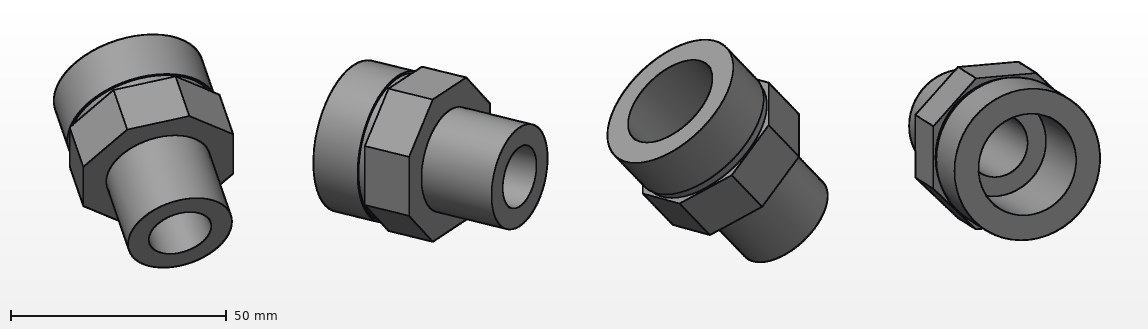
import cadquery as cq
import math

collar_length = 12.0
groove_length = 2.0
octagon_length = 12.0
spigot_length = 19.0

collar_diameter = 36.0
groove_diameter = 35.0
octagon_across_flats = 36.0
octagon_sides = 8
spigot_diameter = 25.0

socket_diameter = 24.12
socket_depth = 20.0
passage_diameter = 15.0

groove_start = collar_length
octagon_start = groove_start + groove_length
spigot_start = octagon_start + octagon_length
total_length = spigot_start + spigot_length


def cylinder(start, length, diameter):
    """Solid cylinder on the X axis, beginning at X = start."""
    return cq.Workplane("YZ", origin=(start, 0, 0)).circle(diameter / 2).extrude(length)


def octagon_grip(start, length):
    """Octagonal prism on the X axis with flats facing Y and Z."""
    across_corners = octagon_across_flats / math.cos(math.pi / octagon_sides)
    half_side_angle = 180.0 / octagon_sides
    return (
        cq.Workplane("YZ", origin=(start, 0, 0))
        .polygon(octagon_sides, across_corners)
        .extrude(length)
        .rotate((0, 0, 0), (1, 0, 0), half_side_angle)
    )


body = cylinder(0, collar_length, collar_diameter)
body = body.union(cylinder(groove_start, groove_length, groove_diameter))
body = body.union(octagon_grip(octagon_start, octagon_length))
body = body.union(cylinder(spigot_start, spigot_length, spigot_diameter))

body = body.cut(cylinder(0, socket_depth, socket_diameter))
body = body.cut(cylinder(0, total_length, passage_diameter))

result = body